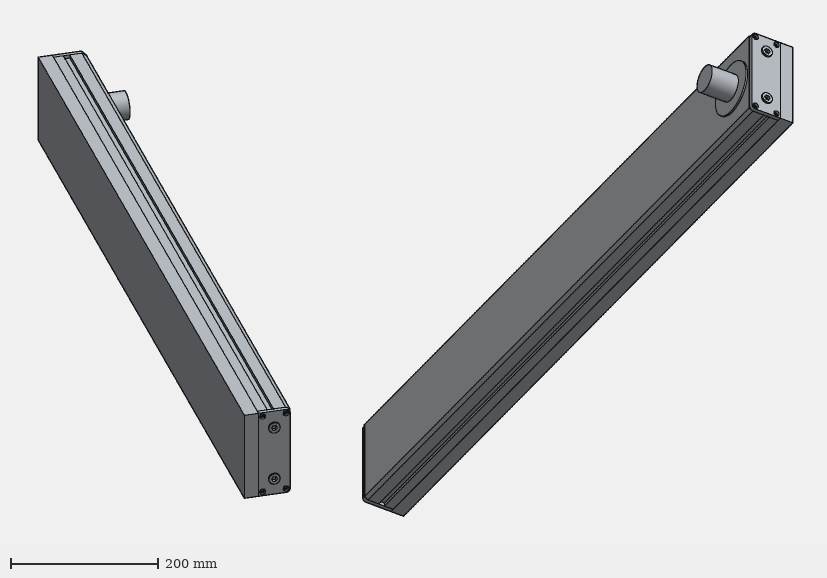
import cadquery as cq

bar_length = 1019.0
bar_height = 130.0
mid_height = bar_height / 2
pad_thickness = 20.0
profile_back = 66.0

bevel_depth = 6.0
bevel_height = 3.0

cap_thickness = 6.0
cap_back = 65.0
cap_corner_radius = 6.0

screw_head_diameter = 8.0
screw_head_depth = 4.0
screw_hole_diameter = 5.0
screw_inset = 6.0

plug_diameter = 16.0
plug_protrusion = 2.5
plug_y = 42.0
plug_spacing = 80.0
socket_corner_width = 8.0
socket_depth = 5.0

groove_front = 34.0
groove_width = 9.0
groove_depth = 5.0

nozzle_x = 50.0
nozzle_diameter = 40.0
nozzle_inner_end = 38.0
nozzle_outer_end = 110.0
flange_diameter = 80.0
flange_thickness = 2.5

plug_points = [(plug_y, mid_height + side * plug_spacing / 2) for side in (-1, 1)]
screw_points = [
    (y, z)
    for y in (pad_thickness + screw_inset, cap_back - screw_inset)
    for z in (screw_inset, bar_height - screw_inset)
]


def points_on_x(start_x, points):
    """Workplane facing +X at start_x, holding the given (Y, Z) points."""
    return cq.Workplane("YZ", origin=(start_x, 0, 0)).pushPoints(points)


def nozzle_cylinder(diameter, start_y, end_y):
    """Cylinder along Y on the nozzle axis."""
    plane = cq.Workplane("XZ", origin=(nozzle_x, start_y, mid_height))
    return plane.circle(diameter / 2).extrude(start_y - end_y)


def make_pad():
    return cq.Workplane("XY").box(bar_length, pad_thickness, bar_height, centered=False)


def make_profile():
    length = bar_length - 2 * cap_thickness
    section = [
        (pad_thickness, 0),
        (profile_back - bevel_depth, 0),
        (profile_back, bevel_height),
        (profile_back, bar_height - bevel_height),
        (profile_back - bevel_depth, bar_height),
        (pad_thickness, bar_height),
    ]
    profile = cq.Workplane("YZ", origin=(cap_thickness, 0, 0)).polyline(section).close().extrude(length)
    for groove_bottom in (0, bar_height - groove_depth):
        corner = (cap_thickness, groove_front, groove_bottom)
        groove = cq.Workplane("XY", origin=corner).box(length, groove_width, groove_depth, centered=False)
        profile = profile.cut(groove)
    return profile.cut(nozzle_cylinder(nozzle_diameter, nozzle_inner_end, profile_back))


def make_left_cap():
    """Cap at the X = 0 end, its outer face toward -X."""
    cap_depth = cap_back - pad_thickness
    cap = cq.Workplane("XY", origin=(0, pad_thickness, 0)).box(
        cap_thickness, cap_depth, bar_height, centered=False
    )
    cap = cap.edges("|X and >Y").fillet(cap_corner_radius)

    screw_heads = points_on_x(0, screw_points).circle(screw_head_diameter / 2).extrude(screw_head_depth)
    screw_holes = points_on_x(0, screw_points).circle(screw_hole_diameter / 2).extrude(cap_thickness)
    cap = cap.cut(screw_heads).cut(screw_holes)

    plug_start = points_on_x(-plug_protrusion, plug_points)
    plugs = plug_start.circle(plug_diameter / 2).extrude(plug_protrusion + cap_thickness)
    sockets = plug_start.polygon(6, socket_corner_width).extrude(socket_depth)
    return cap.union(plugs).cut(sockets)


def make_right_cap():
    """Mirror image of the left cap at the other end of the bar."""
    return make_left_cap().mirror("YZ", (bar_length / 2, 0, 0))


def make_nozzle():
    pipe = nozzle_cylinder(nozzle_diameter, nozzle_inner_end, nozzle_outer_end)
    flange = nozzle_cylinder(flange_diameter, profile_back, profile_back + flange_thickness)
    return pipe.union(flange)


pad = make_pad()
profile = make_profile()
left_cap = make_left_cap()
right_cap = make_right_cap()
nozzle = make_nozzle()

bodies = [pad, profile, left_cap, right_cap, nozzle]
result = cq.Compound.makeCompound([body.solids().val() for body in bodies])